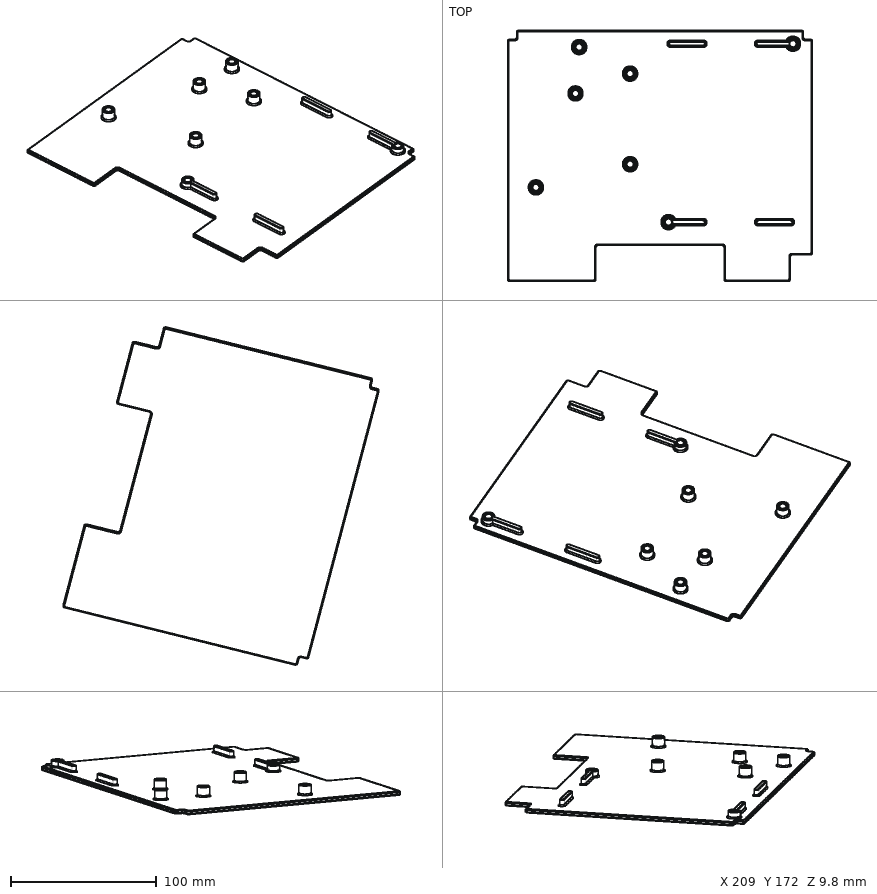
import cadquery as cq
LENGTH = 209.0
WIDTH = 172.0
PLATE_THICKNESS = 3.0
EDGE_CHAMFER = 0.8
CORNER_RADIUS = 1.5

REAR_STEP = 6.3
NOTCH_INSET = 60.6
NOTCH_DEPTH = 24.7
FRONT_STEP_LENGTH = 15.3
FRONT_STEP_DEPTH = 18.2

TALL_TOP = 9.8
SHORT_TOP = 7.5
POST_RADIUS = 8.4 / 2
BORE_RADIUS = 4.5 / 2
FOOT = 0.95
RIM_CHAMFER = 0.5
RIB_WIDTH = 3.1
RIB_SPAN = 25.3

MIDDLE_POST_X = 84.0
TALL_POSTS = [
    (49.1, 160.5),
    (MIDDLE_POST_X, 142.3),
    (46.6, 128.7),
    (MIDDLE_POST_X, 80.3),
    (19.5, 64.4),
]
RIB_STARTS_X = (110.4, 170.3)
FRONT_ROW_Y = 40.5
REAR_ROW_Y = 162.8
SHORT_POSTS = [
    (RIB_STARTS_X[0], FRONT_ROW_Y),
    (RIB_STARTS_X[1] + RIB_SPAN, REAR_ROW_Y),
]


def make_plate():
    """Flat plate with stepped corners, a front notch and chamfered edges."""
    notch_end = LENGTH - NOTCH_INSET
    front_step_x = LENGTH - FRONT_STEP_LENGTH
    rear_step_x = LENGTH - REAR_STEP
    rear_step_y = WIDTH - REAR_STEP
    outline = [
        (0, 0),
        (NOTCH_INSET, 0),
        (NOTCH_INSET, NOTCH_DEPTH),
        (notch_end, NOTCH_DEPTH),
        (notch_end, 0),
        (front_step_x, 0),
        (front_step_x, FRONT_STEP_DEPTH),
        (LENGTH, FRONT_STEP_DEPTH),
        (LENGTH, rear_step_y),
        (rear_step_x, rear_step_y),
        (rear_step_x, WIDTH),
        (REAR_STEP, WIDTH),
        (REAR_STEP, rear_step_y),
        (0, rear_step_y),
    ]
    plate = cq.Workplane("XY").polyline(outline).close().extrude(PLATE_THICKNESS)
    plate = plate.edges("|Z").fillet(CORNER_RADIUS)
    return plate.faces("<Z or >Z").chamfer(EDGE_CHAMFER)


def revolve_about_z(profile, place):
    """Solid of revolution of an (r, z) profile, about the vertical through place."""
    x, y = place
    turned = cq.Workplane("XZ").polyline(profile).close().revolve(360, (0, 0), (0, 1))
    return turned.translate((x, y, 0))


def make_post(place, top):
    """Round post with a sloped foot and a chamfered rim, before boring."""
    profile = [
        (0, PLATE_THICKNESS),
        (POST_RADIUS + FOOT, PLATE_THICKNESS),
        (POST_RADIUS, PLATE_THICKNESS + FOOT),
        (POST_RADIUS, top - RIM_CHAMFER),
        (POST_RADIUS - RIM_CHAMFER, top),
        (0, top),
    ]
    return revolve_about_z(profile, place)


def make_bore(place, top):
    """Cutter for the bore of a post, down to the plate, with a chamfered mouth."""
    profile = [
        (0, PLATE_THICKNESS),
        (BORE_RADIUS, PLATE_THICKNESS),
        (BORE_RADIUS, top - RIM_CHAMFER),
        (BORE_RADIUS + RIM_CHAMFER, top),
        (0, top),
    ]
    return revolve_about_z(profile, place)


def make_rib(start_x, y):
    """Round-ended rib along X with a sloped foot and a chamfered top edge."""
    base = cq.Workplane("XY", origin=(start_x + RIB_SPAN / 2, y, PLATE_THICKNESS))
    rib = base.slot2D(RIB_SPAN, RIB_WIDTH).extrude(SHORT_TOP - PLATE_THICKNESS)
    rib = rib.faces(">Z").chamfer(RIM_CHAMFER)
    foot = base.slot2D(RIB_SPAN + 2 * FOOT, RIB_WIDTH + 2 * FOOT).extrude(FOOT, taper=45)
    return rib.union(foot)


mounting_plate = make_plate()
for row_y in (FRONT_ROW_Y, REAR_ROW_Y):
    for rib_start in RIB_STARTS_X:
        mounting_plate = mounting_plate.union(make_rib(rib_start, row_y))

posts = [(place, TALL_TOP) for place in TALL_POSTS]
posts += [(place, SHORT_TOP) for place in SHORT_POSTS]
for post_place, post_top in posts:
    mounting_plate = mounting_plate.union(make_post(post_place, post_top))
    mounting_plate = mounting_plate.cut(make_bore(post_place, post_top))

result = cq.Compound.makeCompound([mounting_plate.val()])